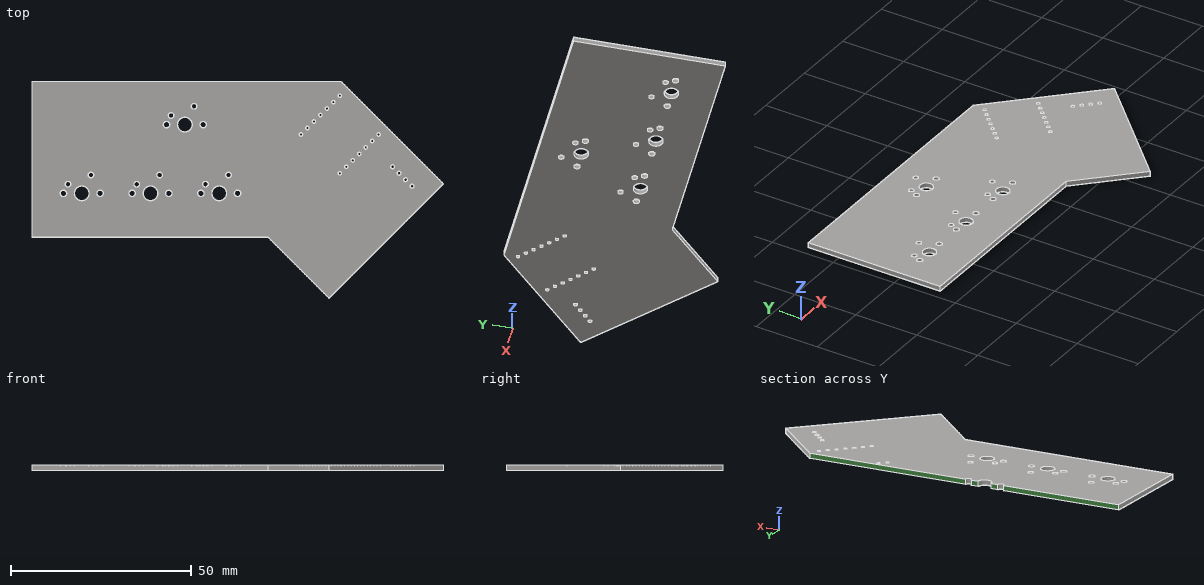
import cadquery as cq
import math

length = 114.1
width = 60.1
thickness = 1.6
body_bottom = 16.9
right_corner_y = 31.7

key_pitch = 19.0
grid = key_pitch / 15
middle_key_x = 32.9
key_row_y = 29.1
key_post_diameter = 4.0
side_peg_diameter = 1.7
contact_diameter = 1.5
side_pegs = [(-4 * grid, 0), (4 * grid, 0)]
contacts = [(-3 * grid, 2 * grid), (2 * grid, 4 * grid)]

pin_pitch = 2 * grid
controller_center = (85.3, 45.4)
controller_row_spacing = 12 * grid
controller_pins_per_row = 7
controller_pin_diameter = 0.89
display_center = (102.7, 33.8)
display_pins = 4
display_pin_diameter = 1.0

diagonal = math.sqrt(0.5)


def drill(plate, points, diameter):
    """Cut a through hole at each point, measured from the plate's lower left."""
    holes = cq.Workplane("XY").pushPoints(points).circle(diameter / 2).extrude(thickness)
    return plate.cut(holes)


def shifted(points, center):
    return [(center[0] + x, center[1] + y) for x, y in points]


def pin_row(center, count, y_direction):
    """Points along a 45 degree line, rising (+1) or falling (-1) toward +X."""
    step = pin_pitch * diagonal
    offsets = [(i - (count - 1) / 2) * step for i in range(count)]
    return shifted([(d, y_direction * d) for d in offsets], center)


bottom_corner_x = length - right_corner_y
outline = [
    (0, body_bottom),
    (bottom_corner_x - body_bottom, body_bottom),
    (bottom_corner_x, 0),
    (length, right_corner_y),
    (length - (width - right_corner_y), width),
    (0, width),
]
plate = cq.Workplane("XY").polyline(outline).close().extrude(thickness)

keys = [(middle_key_x + i * key_pitch, key_row_y) for i in (-1, 0, 1)]
keys.append((middle_key_x + key_pitch / 2, key_row_y + key_pitch))
plate = drill(plate, keys, key_post_diameter)
for key in keys:
    plate = drill(plate, shifted(side_pegs, key), side_peg_diameter)
    plate = drill(plate, shifted(contacts, key), contact_diameter)

row_offset = controller_row_spacing / 2 * diagonal
for row_center in shifted([(-row_offset, row_offset), (row_offset, -row_offset)], controller_center):
    pins = pin_row(row_center, controller_pins_per_row, 1)
    plate = drill(plate, pins, controller_pin_diameter)

plate = drill(plate, pin_row(display_center, display_pins, -1), display_pin_diameter)

result = plate